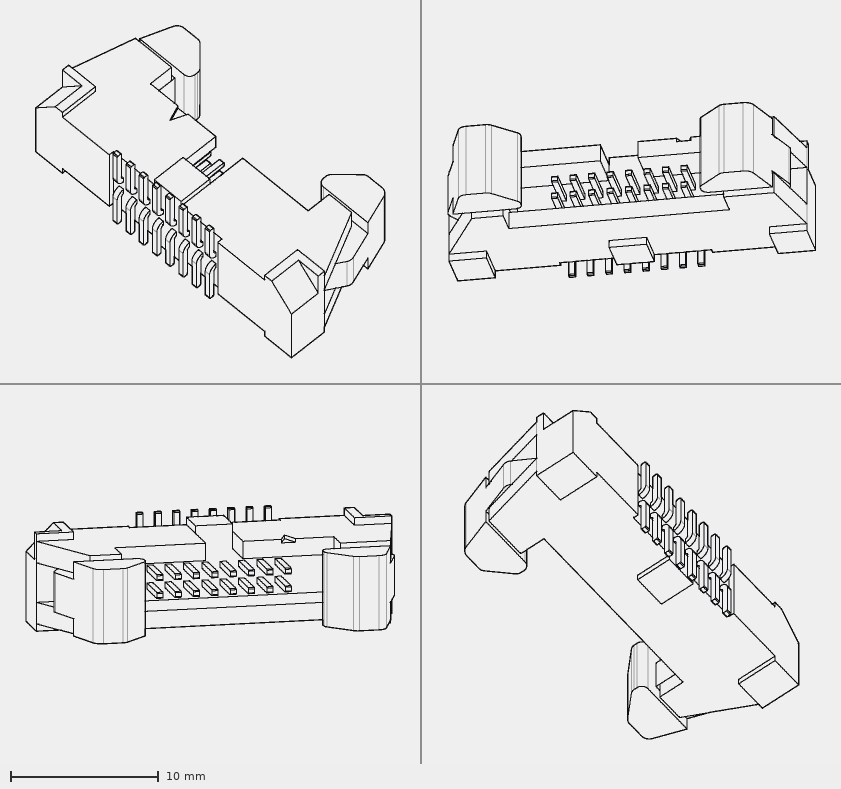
import cadquery as cq
import math


length = 24.65
half_length = length / 2
body_thickness = 5.72
block_thickness = 6.75
block_length = 2.59
block_height = 3.13
mating_height = 6.23
wing_height = 8.23
wing_inner_x = 7.6
left_wing_outer_x = 11.06
right_wing_outer_x = 9.75
corner_cut = 1.9
corner_cut_height = 2.55

cavity_floor = block_height
cavity_thickness = 3.3
key_width = 2.59
pin_recess_length = 10.45
pin_recess_depth = 0.4
mark_width = 0.99
mark_length = 1.25
mark_depth = 0.25

pins_per_row = 8
pin_row_span = 8.9
pin_pitch = pin_row_span / (pins_per_row - 1)
row_offset = 0.62
pin_size = 0.42
pin_tip_height = 6.18
tail_bottom = -0.22
tail_span = 7.52
tail_reach = tail_span / 2
bend_radius = 0.67
pin_tip_chamfer = 0.07
first_pin_x = -pin_row_span / 2

latch_top = 11.33
latch_head_thickness = 5.15
latch_arm_thickness = 2.74
hook_bottom = 8.55
hook_tip_x = 6.18
hook_tip_top = 9.54
hook_slope_run = latch_top - hook_tip_top
head_outer_x = 10.0
elbow_x = 11.85
elbow_y = 6.14
foot_outer_x = 10.05
head_outer_radius = 0.67
hook_radius = 0.52
elbow_radius = 0.67


def block(x_min, x_max, y_min, y_max, thickness):
    """Box between the given X and Y limits, centred on Z = 0."""
    return (
        cq.Workplane("XY")
        .box(x_max - x_min, y_max - y_min, thickness, centered=(False, False, True))
        .translate((x_min, y_min, 0))
    )


def plate(points, thickness):
    """Outline in the XY plane, extruded to both sides of Z = 0."""
    return cq.Workplane("XY").polyline(points).close().extrude(thickness / 2, both=True)


def make_shell():
    """Main outline with two sloped wings, corner blocks and a key boss."""
    outline = [
        (-half_length, 0),
        (half_length, 0),
        (half_length, block_height),
        (right_wing_outer_x, wing_height),
        (wing_inner_x, wing_height),
        (wing_inner_x, mating_height),
        (-wing_inner_x, mating_height),
        (-wing_inner_x, wing_height),
        (-left_wing_outer_x, wing_height),
        (-half_length, block_height),
    ]
    shell = plate(outline, body_thickness)
    shell = shell.union(block(-half_length, block_length - half_length, 0, block_height, block_thickness))
    shell = shell.union(block(half_length - block_length, half_length, 0, block_height, block_thickness))
    return shell.union(block(-key_width / 2, key_width / 2, 0, block_height, block_thickness))


def corner_cutter(side):
    """45 degree cut on the upper edge of one corner block."""
    top = block_thickness / 2
    edge = side * half_length
    return (
        cq.Workplane("XZ")
        .polyline([(edge, top), (edge - side * corner_cut, top), (edge, top - corner_cut)])
        .close()
        .extrude(-corner_cut_height)
    )


def cut_openings(shell):
    """Plug cavity, latch slots, key slot, contact recess, pin 1 mark and corner cuts."""
    cavity = block(-wing_inner_x, wing_inner_x, cavity_floor, mating_height, cavity_thickness)
    latch_slots = block(-half_length, half_length, block_height, wing_height, latch_arm_thickness)
    key_slot = (
        block(-key_width / 2, key_width / 2, cavity_floor, mating_height, body_thickness / 2)
        .translate((0, 0, body_thickness / 4))
    )
    pin_recess = block(
        -pin_recess_length / 2, pin_recess_length / 2, 0, pin_recess_depth, block_thickness
    )
    mark = (
        cq.Workplane("XY", origin=(first_pin_x, mating_height, body_thickness / 2))
        .polyline([(-mark_width / 2, 0), (mark_width / 2, 0), (0, -mark_length)])
        .close()
        .extrude(-mark_depth)
    )
    openings = [cavity, latch_slots, key_slot, pin_recess, mark, corner_cutter(-1), corner_cutter(1)]
    for opening in openings:
        shell = shell.cut(opening)
    return shell


def make_pin(x, row_side):
    """Straight contact whose tail bends outward; row_side is +1 or -1 in Z."""
    inner = row_offset - pin_size / 2
    outer = row_offset + pin_size / 2
    bend_y = tail_bottom + bend_radius
    bend_z = inner + bend_radius
    diagonal = bend_radius * math.sqrt(0.5)
    inner_radius = bend_radius - pin_size
    inner_diagonal = inner_radius * math.sqrt(0.5)
    tail_top = tail_bottom + pin_size
    pin = (
        cq.Workplane("YZ")
        .moveTo(pin_tip_height, inner)
        .lineTo(bend_y, inner)
        .threePointArc((bend_y - diagonal, bend_z - diagonal), (tail_bottom, bend_z))
        .lineTo(tail_bottom, tail_reach)
        .lineTo(tail_top, tail_reach)
        .lineTo(tail_top, bend_z)
        .threePointArc((bend_y - inner_diagonal, bend_z - inner_diagonal), (bend_y, outer))
        .lineTo(pin_tip_height, outer)
        .close()
        .extrude(pin_size / 2, both=True)
    )
    pin = pin.faces(">Y or >Z").edges("|X").chamfer(pin_tip_chamfer)
    if row_side < 0:
        pin = pin.mirror("XY")
    return pin.translate((x, 0, 0))


def make_header():
    """Housing and its moulded-in contacts as one solid."""
    header = cut_openings(make_shell())
    for index in range(pins_per_row):
        for row_side in (-1, 1):
            header = header.union(make_pin(first_pin_x + index * pin_pitch, row_side))
    return header


def make_latch(side):
    """Hooked ejector latch standing in the slot of one wing; side is +1 or -1 in X."""
    outline = [
        (wing_inner_x, block_height),
        (wing_inner_x, hook_bottom),
        (hook_tip_x, hook_bottom),
        (hook_tip_x, hook_tip_top),
        (hook_tip_x + hook_slope_run, latch_top),
        (head_outer_x, latch_top),
        (elbow_x, elbow_y),
        (foot_outer_x, block_height),
    ]
    latch = plate(outline, latch_head_thickness)
    roundings = [
        (hook_tip_x, hook_bottom, hook_radius),
        (hook_tip_x, hook_tip_top, hook_radius),
        (hook_tip_x + hook_slope_run, latch_top, hook_radius),
        (head_outer_x, latch_top, head_outer_radius),
        (elbow_x, elbow_y, elbow_radius),
    ]
    for x, y, radius in roundings:
        latch = latch.edges(cq.selectors.NearestToPointSelector((x, y, 0))).fillet(radius)
    head = block(0, half_length, hook_bottom, latch_top, latch_head_thickness)
    arm = block(0, half_length, 0, hook_bottom, latch_arm_thickness)
    latch = latch.intersect(head.union(arm))
    if side < 0:
        latch = latch.mirror("YZ")
    return latch


header = make_header()
latches = [make_latch(side) for side in (-1, 1)]

result = cq.Compound.makeCompound([header.val(), *[latch.val() for latch in latches]])